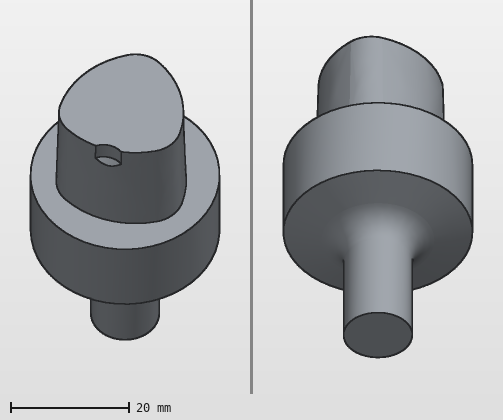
import cadquery as cq
import math

TOTAL_HEIGHT = 57.0
SHANK_HEIGHT = 18.9
COLLAR_HEIGHT = 15.1

STEM_RADIUS = 11.6 / 2
COLLAR_RADIUS = 32.0 / 2
CONE_ANGLE = math.radians(15)
NECK_FILLET_RADIUS = 5.0

LOBE_OFFSET = 6.0
LOBE_RADIUS_BASE = 5.8
LOBE_RADIUS_TOP = 5.35
LOBE_ANGLES = (90, 210, 330)

NOTCH_RADIUS = 3.7
NOTCH_DEPTH = 3.3
NOTCH_AXIS_Y = -12.55
NOTCH_TIP_HEIGHT = NOTCH_RADIUS

COLLAR_TOP_Z = TOTAL_HEIGHT - SHANK_HEIGHT
COLLAR_BOTTOM_Z = COLLAR_TOP_Z - COLLAR_HEIGHT


def polar(radius, degrees, center=(0, 0)):
    """Point at the given radius and direction from a center."""
    angle = math.radians(degrees)
    return (center[0] + radius * math.cos(angle), center[1] + radius * math.sin(angle))


def make_body():
    """Stem, filleted neck, conical shoulder and collar as one revolution."""
    fillet_center_r = STEM_RADIUS + NECK_FILLET_RADIUS
    fillet_end_r = fillet_center_r - NECK_FILLET_RADIUS * math.sin(CONE_ANGLE)
    fillet_end_z = COLLAR_BOTTOM_Z - (COLLAR_RADIUS - fillet_end_r) * math.tan(CONE_ANGLE)
    fillet_start_z = fillet_end_z - NECK_FILLET_RADIUS * math.cos(CONE_ANGLE)
    mid_direction = (180 + 90 + math.degrees(CONE_ANGLE)) / 2
    fillet_mid = polar(NECK_FILLET_RADIUS, mid_direction, (fillet_center_r, fillet_start_z))
    return (
        cq.Workplane("XZ")
        .lineTo(STEM_RADIUS, 0)
        .lineTo(STEM_RADIUS, fillet_start_z)
        .threePointArc(fillet_mid, (fillet_end_r, fillet_end_z))
        .lineTo(COLLAR_RADIUS, COLLAR_BOTTOM_Z)
        .lineTo(COLLAR_RADIUS, COLLAR_TOP_Z)
        .lineTo(0, COLLAR_TOP_Z)
        .close()
        .revolve(360, (0, 0), (0, 1))
    )


def add_lobed_outline(plane, lobe_radius):
    """Draw the constant-width outline: three lobes joined by three flatter arcs."""
    flank_reach = lobe_radius + LOBE_OFFSET * (math.sqrt(3) - 1)
    first_center = polar(LOBE_OFFSET, LOBE_ANGLES[0])
    plane = plane.moveTo(*polar(lobe_radius, LOBE_ANGLES[0] - 30, first_center))
    for angle in LOBE_ANGLES:
        lobe_center = polar(LOBE_OFFSET, angle)
        lobe_tip = polar(LOBE_OFFSET + lobe_radius, angle)
        lobe_end = polar(lobe_radius, angle + 30, lobe_center)
        next_center = polar(LOBE_OFFSET, angle + 120)
        next_start = polar(lobe_radius, angle + 90, next_center)
        plane = plane.threePointArc(lobe_tip, lobe_end)
        plane = plane.threePointArc(polar(flank_reach, angle + 60), next_start)
    return plane.close()


def make_shank():
    """Tapered three-lobed shank standing on the collar."""
    base = add_lobed_outline(cq.Workplane("XY", origin=(0, 0, COLLAR_TOP_Z)), LOBE_RADIUS_BASE)
    top = add_lobed_outline(base.workplane(offset=SHANK_HEIGHT), LOBE_RADIUS_TOP)
    return top.loft(ruled=True)


def make_notch():
    """Vertical drill shape with a conical point, centered outside the flank."""
    floor_z = TOTAL_HEIGHT - NOTCH_DEPTH
    return (
        cq.Workplane("XZ", origin=(0, NOTCH_AXIS_Y, 0))
        .moveTo(0, floor_z - NOTCH_TIP_HEIGHT)
        .lineTo(NOTCH_RADIUS, floor_z)
        .lineTo(NOTCH_RADIUS, TOTAL_HEIGHT)
        .lineTo(0, TOTAL_HEIGHT)
        .close()
        .revolve(360, (0, 0), (0, 1))
    )


result = make_body().union(make_shank()).cut(make_notch())